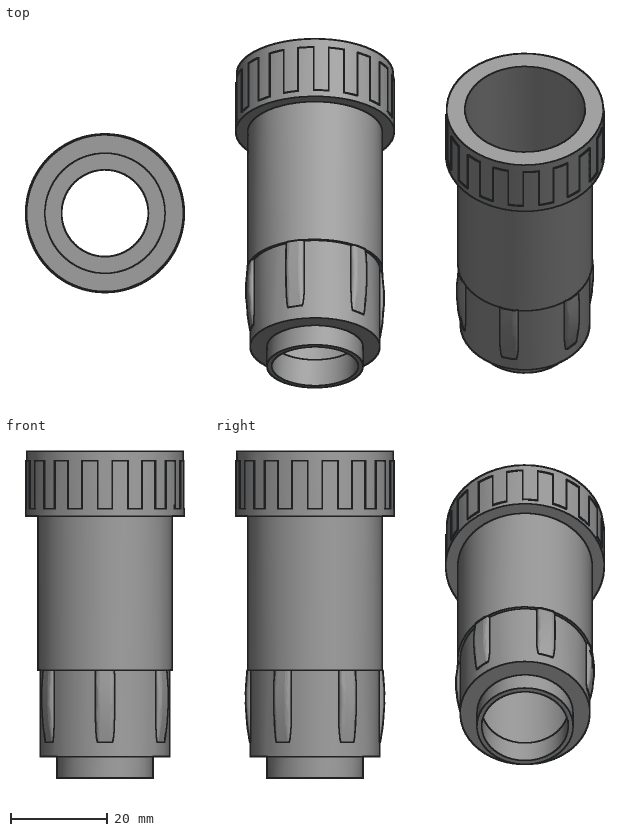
import cadquery as cq
import math

NECK_DIAMETER = 20.0
GRIP_DIAMETER = 27.0
BODY_DIAMETER = 28.0
COLLAR_DIAMETER = 33.0
COLLAR_ROOT_DIAMETER = 32.6

NECK_HEIGHT = 4.5
GRIP_HEIGHT = 18.0
BODY_HEIGHT = 32.0
COLLAR_HEIGHT = 13.5

GRIP_BOTTOM = NECK_HEIGHT
GRIP_TOP = GRIP_BOTTOM + GRIP_HEIGHT
BODY_TOP = GRIP_TOP + BODY_HEIGHT
TOTAL_HEIGHT = BODY_TOP + COLLAR_HEIGHT

SOCKET_DIAMETER = 25.0
THROUGH_DIAMETER = 18.0
SHOULDER_THICKNESS = (BODY_DIAMETER - SOCKET_DIAMETER) / 2
SOCKET_FLOOR = GRIP_BOTTOM + SHOULDER_THICKNESS

GROOVE_COUNT = 16
GROOVE_WIDTH = 3.1
GROOVE_LENGTH = 10.0
TOP_BAND_HEIGHT = 2.0
GROOVE_TOP = TOTAL_HEIGHT - TOP_BAND_HEIGHT
GROOVE_BOTTOM = GROOVE_TOP - GROOVE_LENGTH

RIB_COUNT = 6
RIB_WIDTH = 4.0
RIB_EDGE_RADIUS = 1.0
RIB_LENGTH = 15.0
RIB_CROWN_RADIUS = 14.47
RIB_CROWN_Z = 16.7
RIB_ARC_RADIUS = 48.0
RIB_INNER_RADIUS = 13.0
RIB_BOTTOM = GRIP_TOP - RIB_LENGTH

FIRST_ANGLE = -90.0


def cylinder(diameter, bottom, top):
    """Solid cylinder on the Z axis between two heights."""
    return cq.Workplane("XY").workplane(offset=bottom).circle(diameter / 2).extrude(top - bottom)


def around_axis(solid, count):
    """Copies of a solid made at +X, evenly spaced around Z from the first angle."""
    step = 360.0 / count
    return [solid.rotate((0, 0, 0), (0, 0, 1), FIRST_ANGLE + i * step) for i in range(count)]


def make_sleeve():
    """Neck, grip, body and plain collar as one stepped solid."""
    sleeve = cylinder(NECK_DIAMETER, 0, GRIP_BOTTOM)
    sleeve = sleeve.union(cylinder(GRIP_DIAMETER, GRIP_BOTTOM, GRIP_TOP))
    sleeve = sleeve.union(cylinder(BODY_DIAMETER, GRIP_TOP, BODY_TOP))
    sleeve = sleeve.union(cylinder(COLLAR_DIAMETER, BODY_TOP, GROOVE_TOP))
    return sleeve.union(cylinder(COLLAR_ROOT_DIAMETER, GROOVE_TOP, TOTAL_HEIGHT))


def cut_collar_grooves(sleeve):
    """Shallow grooves down to the root diameter, open into the top band."""
    shell = cylinder(COLLAR_DIAMETER, GROOVE_BOTTOM, GROOVE_TOP).cut(
        cylinder(COLLAR_ROOT_DIAMETER, GROOVE_BOTTOM, GROOVE_TOP)
    )
    slot = (
        cq.Workplane("XY")
        .workplane(offset=GROOVE_BOTTOM)
        .rect(COLLAR_DIAMETER, GROOVE_WIDTH)
        .extrude(GROOVE_LENGTH)
        .translate((COLLAR_DIAMETER / 2, 0, 0))
    )
    for groove in around_axis(slot.intersect(shell), GROOVE_COUNT):
        sleeve = sleeve.cut(groove)
    return sleeve


def rib_face_radius(z):
    """Distance of the arched rib face from the axis at a height."""
    sagitta = RIB_ARC_RADIUS - math.sqrt(RIB_ARC_RADIUS**2 - (z - RIB_CROWN_Z) ** 2)
    return RIB_CROWN_RADIUS - sagitta


def make_rib():
    """Rib at +X with an arched outer face and rounded long edges."""
    blank = (
        cq.Workplane("XZ")
        .moveTo(RIB_INNER_RADIUS, RIB_BOTTOM)
        .lineTo(rib_face_radius(RIB_BOTTOM), RIB_BOTTOM)
        .threePointArc(
            (RIB_CROWN_RADIUS, RIB_CROWN_Z),
            (rib_face_radius(GRIP_TOP), GRIP_TOP),
        )
        .lineTo(RIB_INNER_RADIUS, GRIP_TOP)
        .close()
        .extrude(RIB_WIDTH / 2, both=True)
    )
    return blank.edges("%CIRCLE").fillet(RIB_EDGE_RADIUS)


def add_grip_ribs(sleeve):
    """Ribs spaced evenly around the grip, running down from the body."""
    for rib in around_axis(make_rib(), RIB_COUNT):
        sleeve = sleeve.union(rib)
    return sleeve


def cut_bore(sleeve):
    """Through hole opening into the wider socket."""
    sleeve = sleeve.cut(cylinder(THROUGH_DIAMETER, 0, TOTAL_HEIGHT))
    return sleeve.cut(cylinder(SOCKET_DIAMETER, SOCKET_FLOOR, TOTAL_HEIGHT))


result = cut_bore(add_grip_ribs(cut_collar_grooves(make_sleeve())))